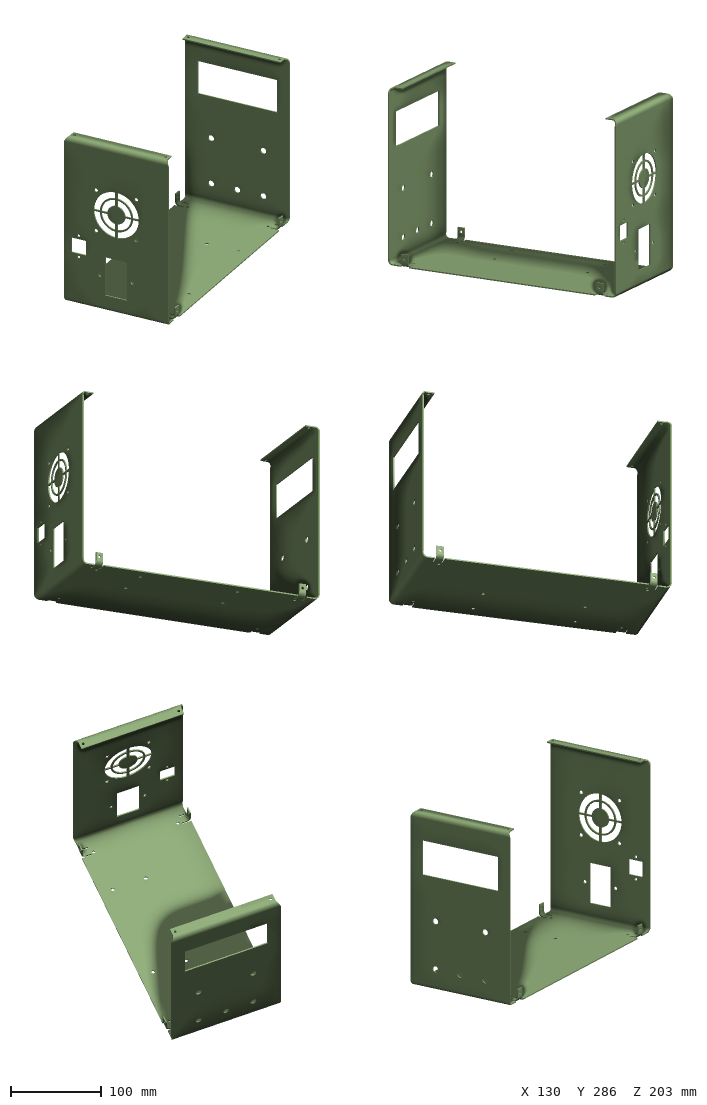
import cadquery as cq
import math


WIDTH = 130.0
DEPTH = 286.0
HEIGHT = 203.0
SHEET = 1.45
BEND_OUTER = 5.5
BEND_INNER = BEND_OUTER - SHEET
HALF_WIDTH = WIDTH / 2
HALF_DEPTH = DEPTH / 2
BEND_LINE_Y = HALF_DEPTH - BEND_OUTER
CUT_DEPTH = 4 * SHEET

FLANGE_LENGTH = 15.0
FLANGE_HALF_WIDTH = 61.0
BASE_END_HALF_WIDTH = 63.4
FLANGE_HOLE_DIAMETER = 3.2
FLANGE_HOLE_X = 56.8
FLANGE_HOLE_Y = 133.5

TAB_WIDTH = 8.4
TAB_HEIGHT = 15.0
TAB_CENTRE_Y = 122.4
TAB_ROOT_X = 54.5
TAB_HOLE_DIAMETER = 3.2
TAB_HOLE_Z = 10.0
SLOT_WIDTH = 1.4

CORNER_HOLE_DIAMETER = 3.2
CORNER_HOLE_X = 50.0
CORNER_HOLE_Y = 119.5
MOUNT_HOLE_DIAMETER = 4.0
MOUNT_HOLES_X = (10.0, 49.3)
MOUNT_HOLES_Y = (51.0, -66.0)

FAN_Z = 121.6
FAN_RADIUS = 28.0
GRILLE_RING_OUTER = 20.5
GRILLE_RING_INNER = 18.5
GRILLE_HUB_RADIUS = 11.0
GRILLE_UPRIGHT_WIDTH = 3.0
GRILLE_CROSSBAR_WIDTH = 2.0
FAN_HOLE_PITCH = 50.0
FAN_HOLE_DIAMETER = 4.3

SWITCH_SIDE = 18.0
SWITCH_X = -46.7
SWITCH_Z = 72.0
SWITCH_HOLE_PITCH = 26.2
SWITCH_HOLE_DIAMETER = 3.2

INLET_WIDTH = 27.0
INLET_HEIGHT = 47.0
INLET_Z = 43.0
INLET_HOLE_PITCH = 40.0
INLET_HOLE_DIAMETER = 4.0

DISPLAY_WIDTH = 98.5
DISPLAY_HEIGHT = 40.0
DISPLAY_BOTTOM_Z = 132.0
REAR_HOLE_DIAMETER = 7.1
REAR_HOLE_X = 32.5
REAR_HOLE_LOW_Z = 24.5
REAR_HOLE_HIGH_Z = 80.5


def block(x_range, y_range, z_range):
    """Box between the given limits."""
    size = [high - low for low, high in (x_range, y_range, z_range)]
    corner = (x_range[0], y_range[0], z_range[0])
    return cq.Workplane("XY").box(*size, centered=False).translate(corner)


def at_four_corners(shape):
    """The shape together with its mirror images in X and in Y."""
    pair = shape.union(shape.mirror("YZ"))
    return pair.union(pair.mirror("XZ"))


def panel_plane(y):
    """Sketch plane on an upright panel, with local axes along X and Z."""
    return cq.Workplane("XZ", origin=(0, y, 0))


def panel_holes(y, points, diameter):
    """Round cutters through the upright panel at y, centred on (x, z) points."""
    return panel_plane(y).pushPoints(points).circle(diameter / 2).extrude(CUT_DEPTH, both=True)


def panel_window(y, x, z, width, height):
    """Rectangular cutter through the upright panel at y."""
    return panel_plane(y).center(x, z).rect(width, height).extrude(CUT_DEPTH, both=True)


def sheet_holes(points, diameter, z=0.0):
    """Round cutters through a horizontal sheet at z."""
    plane = cq.Workplane("XY", origin=(0, 0, z))
    return plane.pushPoints(points).circle(diameter / 2).extrude(CUT_DEPTH, both=True)


def folded_sheet():
    """Base, both panels and top flanges as one sheet with round bends."""
    outer = block((-HALF_WIDTH, HALF_WIDTH), (-HALF_DEPTH, HALF_DEPTH), (0, HEIGHT))
    outer = outer.edges("|X").fillet(BEND_OUTER)
    inner_y = HALF_DEPTH - SHEET
    inner = block((-HALF_WIDTH, HALF_WIDTH), (-inner_y, inner_y), (SHEET, HEIGHT - SHEET))
    inner = inner.edges("|X").fillet(BEND_INNER)
    flange_end = HALF_DEPTH - FLANGE_LENGTH
    opening = block((-HALF_WIDTH, HALF_WIDTH), (-flange_end, flange_end), (HEIGHT / 2, HEIGHT))
    return outer.cut(inner).cut(opening)


def bend_taper(z, normal_z, x_direction, end_half_width):
    """Cutter narrowing one rear bend from the panel width to end_half_width at its other end."""
    plane = cq.Plane(
        origin=(0, BEND_LINE_Y, z),
        xDir=(x_direction, 0, 0),
        normal=(0, 1, normal_z),
    )
    half_chord = BEND_OUTER / math.sqrt(2)
    points = [
        (HALF_WIDTH, -half_chord),
        (end_half_width, half_chord),
        (HALF_WIDTH, half_chord),
    ]
    return cq.Workplane(plane).polyline(points).close().extrude(2 * BEND_OUTER)


def corner_trims():
    """Cutters for the narrowed flanges, the narrowed base ends and the tapered bends."""
    flange_y = (HALF_DEPTH - FLANGE_LENGTH, BEND_LINE_Y)
    flange_trim = block((FLANGE_HALF_WIDTH, HALF_WIDTH), flange_y, (HEIGHT - BEND_OUTER, HEIGHT))
    base_y = (TAB_CENTRE_Y, BEND_LINE_Y)
    base_trim = block((BASE_END_HALF_WIDTH, HALF_WIDTH), base_y, (0, BEND_OUTER))
    upper_taper = bend_taper(HEIGHT - BEND_OUTER, 1, -1, FLANGE_HALF_WIDTH)
    lower_taper = bend_taper(BEND_OUTER, -1, 1, BASE_END_HALF_WIDTH)
    trims = flange_trim.union(base_trim).union(upper_taper).union(lower_taper)
    return at_four_corners(trims)


def tab_notches():
    """Cutters clearing each tab and its relief slots, with round slot ends."""
    half_span = TAB_WIDTH / 2 + SLOT_WIDTH
    notch_y = (TAB_CENTRE_Y - half_span, TAB_CENTRE_Y + half_span)
    notch = block((TAB_ROOT_X, HALF_WIDTH), notch_y, (0, SHEET))
    slot_offset = (TAB_WIDTH + SLOT_WIDTH) / 2
    slot_ends = [(TAB_ROOT_X, TAB_CENTRE_Y + side * slot_offset) for side in (-1, 1)]
    return at_four_corners(notch.union(sheet_holes(slot_ends, SLOT_WIDTH)))


def side_tabs():
    """Four pierced tabs, each bent upright flush with the side of the base."""
    tab_y = (TAB_CENTRE_Y - TAB_WIDTH / 2, TAB_CENTRE_Y + TAB_WIDTH / 2)
    root_x = TAB_ROOT_X - SLOT_WIDTH
    tab = block((root_x, HALF_WIDTH), tab_y, (0, TAB_HEIGHT))
    tab = tab.edges("|Y and >X and <Z").fillet(BEND_OUTER)
    inside = block((root_x, HALF_WIDTH - SHEET), tab_y, (SHEET, TAB_HEIGHT))
    inside = inside.edges("|Y and >X and <Z").fillet(BEND_INNER)
    hole = cq.Workplane("YZ", origin=(HALF_WIDTH, 0, 0)).center(TAB_CENTRE_Y, TAB_HOLE_Z)
    hole = hole.circle(TAB_HOLE_DIAMETER / 2).extrude(CUT_DEPTH, both=True)
    return at_four_corners(tab.cut(inside).cut(hole))


def fan_grille():
    """Fan opening cutter, leaving a hub, a ring and four spokes, plus its screw holes."""

    def disc(radius):
        return panel_holes(-HALF_DEPTH, [(0, FAN_Z)], 2 * radius)

    spoke_length = 3 * FAN_RADIUS
    upright = panel_window(-HALF_DEPTH, 0, FAN_Z, GRILLE_UPRIGHT_WIDTH, spoke_length)
    crossbar = panel_window(-HALF_DEPTH, 0, FAN_Z, spoke_length, GRILLE_CROSSBAR_WIDTH)
    openings = disc(FAN_RADIUS).cut(disc(GRILLE_RING_OUTER))
    openings = openings.union(disc(GRILLE_RING_INNER).cut(disc(GRILLE_HUB_RADIUS)))
    openings = openings.cut(upright).cut(crossbar)
    offset = FAN_HOLE_PITCH / 2
    screw_points = [(x, FAN_Z + z) for x in (-offset, offset) for z in (-offset, offset)]
    return openings.union(panel_holes(-HALF_DEPTH, screw_points, FAN_HOLE_DIAMETER))


def switch_opening():
    """Square switch cutter with a screw hole above and below."""
    window = panel_window(-HALF_DEPTH, SWITCH_X, SWITCH_Z, SWITCH_SIDE, SWITCH_SIDE)
    points = [(SWITCH_X, SWITCH_Z + side * SWITCH_HOLE_PITCH / 2) for side in (-1, 1)]
    return window.union(panel_holes(-HALF_DEPTH, points, SWITCH_HOLE_DIAMETER))


def inlet_opening():
    """Power inlet cutter with a screw hole on each side."""
    window = panel_window(-HALF_DEPTH, 0, INLET_Z, INLET_WIDTH, INLET_HEIGHT)
    points = [(side * INLET_HOLE_PITCH / 2, INLET_Z) for side in (-1, 1)]
    return window.union(panel_holes(-HALF_DEPTH, points, INLET_HOLE_DIAMETER))


def rear_openings():
    """Display window and five control holes of the rear panel."""
    display_z = DISPLAY_BOTTOM_Z + DISPLAY_HEIGHT / 2
    window = panel_window(HALF_DEPTH, 0, display_z, DISPLAY_WIDTH, DISPLAY_HEIGHT)
    points = [(x, REAR_HOLE_LOW_Z) for x in (-REAR_HOLE_X, 0, REAR_HOLE_X)]
    points += [(x, REAR_HOLE_HIGH_Z) for x in (-REAR_HOLE_X, REAR_HOLE_X)]
    return window.union(panel_holes(HALF_DEPTH, points, REAR_HOLE_DIAMETER))


def horizontal_holes():
    """Holes of the base and of the top flanges."""
    mount_points = [(x, y) for x in MOUNT_HOLES_X for y in MOUNT_HOLES_Y]
    mounts = sheet_holes(mount_points, MOUNT_HOLE_DIAMETER)
    corner = sheet_holes([(CORNER_HOLE_X, CORNER_HOLE_Y)], CORNER_HOLE_DIAMETER)
    flange = sheet_holes([(FLANGE_HOLE_X, FLANGE_HOLE_Y)], FLANGE_HOLE_DIAMETER, HEIGHT)
    return mounts.union(at_four_corners(corner.union(flange)))


chassis = folded_sheet().cut(corner_trims()).cut(tab_notches()).union(side_tabs())
for cutter in (fan_grille(), switch_opening(), inlet_opening(), rear_openings(), horizontal_holes()):
    chassis = chassis.cut(cutter)

result = chassis